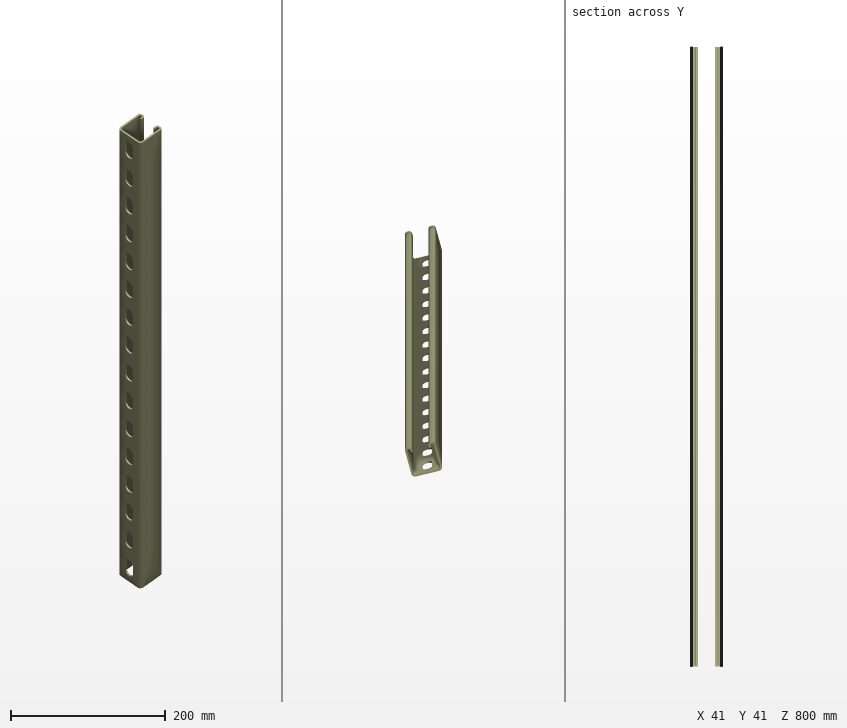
import cadquery as cq

length = 800.0
inner_width = 36.0
wall = 2.5
base_bend = 5.2
lip_bend = 3.5
lip_gap = 4.5
lip_depth = 7.0

slot_count = 16
slot_length = 28.0
slot_width = 14.0

slot_pitch = length / slot_count

width = inner_width + 2 * wall
depth = width
half_width = width / 2
inner_half_width = inner_width / 2
base_y = -depth / 2
mouth_y = depth / 2
lip_x = inner_half_width - lip_gap - wall


def slab(x_min, x_max, y_min, y_max):
    """Full-length block between the given X and Y limits, centred on Z."""
    block = cq.Workplane("XY").box(x_max - x_min, y_max - y_min, length)
    return block.translate(((x_min + x_max) / 2, (y_min + y_max) / 2, 0))


def folded_envelope():
    """Solid bar with the rounded outer shape of the channel."""
    bar = slab(-half_width, half_width, base_y, mouth_y)
    bar = bar.edges("|Z and <Y").fillet(base_bend)
    return bar.edges("|Z and >Y").fillet(lip_bend)


def cavity():
    """Space from the base up to the free ends of the lips."""
    space = slab(-inner_half_width, inner_half_width, base_y + wall, mouth_y - lip_depth)
    return space.edges("|Z and <Y").fillet(base_bend - wall)


def lip_groove(side):
    """Space between one side wall (side = -1 or 1) and its lip, with rounded corners."""
    x_limits = sorted((side * inner_half_width, side * (lip_x + wall)))
    groove = slab(*x_limits, 0, mouth_y - wall)
    return groove.edges("|Z and >Y").fillet(lip_bend - wall)


def channel():
    """C-section of bent sheet with lips turned inward at the mouth."""
    body = folded_envelope().cut(cavity())
    body = body.cut(slab(-lip_x, lip_x, 0, mouth_y))
    for side in (-1, 1):
        body = body.cut(lip_groove(side))

    margin = wall / 2
    mouth_corners = cq.selectors.BoxSelector(
        (-lip_x - margin, mouth_y - margin, -length),
        (lip_x + margin, mouth_y + margin, length),
    )
    return body.edges("|Z").edges(mouth_corners).fillet(lip_bend)


def base_slots():
    """Row of round-ended slots through the base, evenly spaced along Z."""
    return (
        cq.Workplane("XZ", origin=(0, base_y + wall, 0))
        .rarray(8, slot_pitch, 1, slot_count)
        .slot2D(slot_length, slot_width, 90)
        .extrude(wall)
    )


result = channel().cut(base_slots())